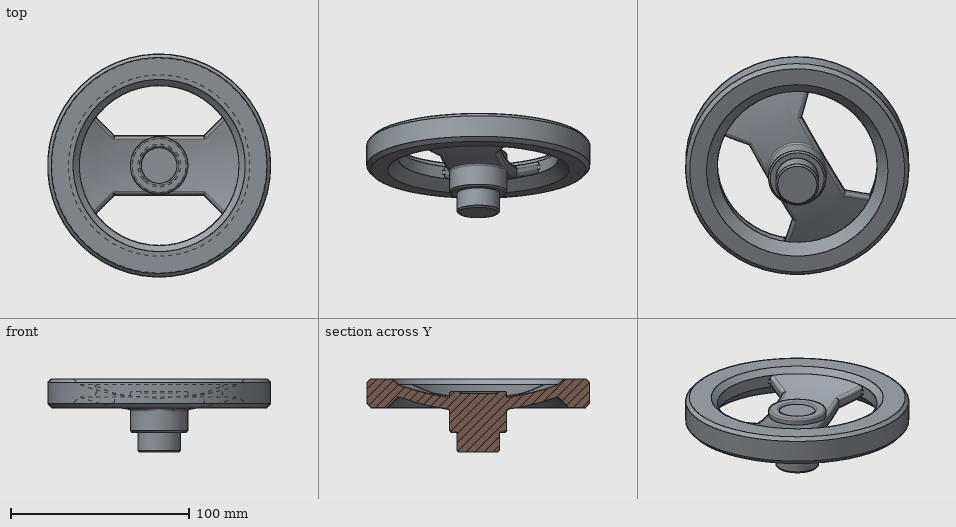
import cadquery as cq
import math

total_height = 41.0
rim_height = 16.2
rim_bottom = total_height - rim_height

rim_radius = 125.0 / 2
rim_top_chamfer = 2.0
rim_bottom_chamfer = 2.3
rim_bore_radius = 44.7
bore_top_flare_width = 3.5
bore_top_flare_depth = 3.2
bore_bottom_flare_width = 6.1

web_thickness = 6.9
dish_radius = 128.0
web_half_width = 16.7
web_flare_start = 25.1
web_flare_angle = 45.0
web_edge_fillet = 2.0
web_rim_overlap = 1.5
web_corner_radius = 1.0

hub_radius = 32.2 / 2
hub_bottom = 11.0
hub_top = 34.0
hub_top_round = 1.0
hub_bottom_chamfer = 1.0
hub_web_fillet = 1.0
joint_search_margin = 0.1
spigot_radius = 24.0 / 2
spigot_chamfer = 1.0
recess_radius = 10.0
recess_edge_round = 1.0


def dish_rise(radius, sphere_radius=dish_radius):
    """Height of a dished surface above its lowest point, at a distance from the axis."""
    return sphere_radius - math.sqrt(sphere_radius**2 - radius**2)


bore_top = total_height - bore_top_flare_depth
bore_bottom = bore_top - web_thickness
web_top_centre = bore_top - dish_rise(rim_bore_radius)
web_bottom_centre = web_top_centre - web_thickness


def revolve_about_z(sketch):
    return sketch.close().revolve(360, (0, 0), (0, 1))


def make_rim():
    profile = [
        (rim_bore_radius, bore_bottom),
        (rim_bore_radius, bore_top),
        (rim_bore_radius + bore_top_flare_width, total_height),
        (rim_radius - rim_top_chamfer, total_height),
        (rim_radius, total_height - rim_top_chamfer),
        (rim_radius, rim_bottom + rim_bottom_chamfer),
        (rim_radius - rim_bottom_chamfer, rim_bottom),
        (rim_bore_radius + bore_bottom_flare_width, rim_bottom),
    ]
    return revolve_about_z(cq.Workplane("XZ").polyline(profile))


def make_dished_disc():
    outer = rim_bore_radius + web_rim_overlap
    middle = outer / 2
    top = web_top_centre
    bottom = web_bottom_centre
    return revolve_about_z(
        cq.Workplane("XZ")
        .moveTo(0, bottom)
        .threePointArc((middle, bottom + dish_rise(middle)), (outer, bottom + dish_rise(outer)))
        .lineTo(outer, top + dish_rise(outer))
        .threePointArc((middle, top + dish_rise(middle)), (0, top))
    )


def make_window(side):
    """Cutter for the opening on one side of the web, with flared ends."""
    reach = rim_radius
    flare_end = web_flare_start + (reach - web_half_width) / math.tan(math.radians(web_flare_angle))
    outline = [
        (-web_flare_start, side * web_half_width),
        (web_flare_start, side * web_half_width),
        (flare_end, side * reach),
        (-flare_end, side * reach),
    ]
    return cq.Workplane("XY").polyline(outline).close().extrude(total_height)


def make_web():
    web = make_dished_disc()
    for side in (1, -1):
        web = web.cut(make_window(side))
    return web.faces("%PLANE").edges("not |Z").fillet(web_edge_fillet)


def make_hub():
    """Hub and spigot turned as one piece, with a shallow round-edged recess in the top."""
    floor = hub_top - recess_edge_round
    sketch = (
        cq.Workplane("XZ")
        .lineTo(spigot_radius - spigot_chamfer, 0)
        .lineTo(spigot_radius, spigot_chamfer)
        .lineTo(spigot_radius, hub_bottom)
        .lineTo(hub_radius - hub_bottom_chamfer, hub_bottom)
        .lineTo(hub_radius, hub_bottom + hub_bottom_chamfer)
        .lineTo(hub_radius, hub_top - hub_top_round)
        .radiusArc((hub_radius - hub_top_round, hub_top), -hub_top_round)
        .lineTo(recess_radius + recess_edge_round, hub_top)
        .radiusArc((recess_radius, floor), -recess_edge_round)
        .lineTo(0, floor)
    )
    return revolve_about_z(sketch)


def join_hub_to_web():
    joined = make_web().union(make_hub())
    reach = hub_radius + joint_search_margin
    joint_bottom = web_bottom_centre - hub_web_fillet
    joint_top = web_bottom_centre + web_edge_fillet
    low_corner = (-reach, -reach, joint_bottom)
    high_corner = (reach, reach, joint_top)
    joint = cq.selectors.BoxSelector(low_corner, high_corner, boundingbox=True)
    return joined.edges(joint).fillet(hub_web_fillet)


def make_corner_fillets():
    """Concave rounds where the flat of each flared window wall runs into the rim bore."""
    flare = math.radians(web_flare_angle)
    wall_offset = web_flare_start * math.sin(flare) - web_half_width * math.cos(flare)
    across = wall_offset - web_corner_radius
    centre_distance = rim_bore_radius - web_corner_radius
    wall_end = math.sqrt(rim_bore_radius**2 - wall_offset**2)
    along = math.sqrt(centre_distance**2 - across**2)
    to_bore = rim_bore_radius / centre_distance
    backing = (rim_bore_radius + web_corner_radius) / rim_bore_radius

    upper_centre_radius = math.hypot(along, wall_offset + web_edge_fillet)
    lower_centre_radius = math.hypot(wall_end, wall_offset + web_edge_fillet)
    flat_top = (
        web_top_centre - web_edge_fillet + dish_rise(upper_centre_radius, dish_radius + web_edge_fillet)
    )
    flat_bottom = (
        web_bottom_centre + web_edge_fillet + dish_rise(lower_centre_radius, dish_radius - web_edge_fillet)
    )

    corner = (
        cq.Workplane("XY")
        .workplane(offset=flat_bottom)
        .moveTo(along, -wall_offset)
        .radiusArc((along * to_bore, -across * to_bore), -web_corner_radius)
        .lineTo(wall_end * backing, -wall_offset * backing)
        .close()
        .extrude(flat_top - flat_bottom)
        .rotate((0, 0, 0), (0, 0, 1), web_flare_angle)
    )
    pair = corner.union(corner.mirror("YZ"))
    return pair.union(pair.mirror("XZ"))


result = make_rim().union(join_hub_to_web()).union(make_corner_fillets())